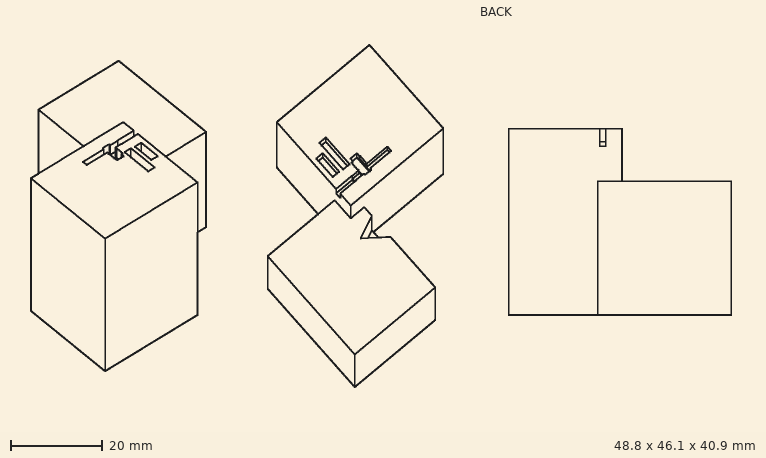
import cadquery as cq

length = 48.75
depth = 46.1
tall_height = 40.85
low_length = 29.3
low_depth = 23.25
low_height = 29.35
tall_length = 24.85
tall_depth = 26.75

tall_left = length - tall_length
low_front = depth - low_depth

notch_left = 15.05
notch_right = 21.3
notch_tip_x = 19.05
notch_tip_depth = 5.2
notch_height = 12.9

slot_inset = 3.6
slot_width = 1.25
slot_length = 14.75
slot_depth = 2.92
slot_entry_length = 4.7
slot_entry_depth = 3.9
slot_entry_clearance = 0.05

pocket_width = 1.85
pocket_depth = 3.9
pocket_places = [
    (7.45, 1.2, 5.5),
    (7.25, 4.05, 7.95),
    (3.2, 6.85, 4.88),
]

recess_length = 2.05
recess_width = 2.45
recess_back_inset = 6.45
neck_length = 0.35
neck_shoulder = 0.1


def block(x, y, size_x, size_y, height):
    """Upright block standing on the base plane, placed by its front-left corner."""
    return cq.Workplane("XY").box(size_x, size_y, height, centered=False).translate((x, y, 0))


def top_cutter(left_inset, back_inset, size_x, size_y, cut_depth):
    """Rectangular cutter sunk into the tall block, placed from its back-left corner."""
    corner = (tall_left + left_inset, tall_depth - back_inset - size_y, tall_height - cut_depth)
    return cq.Workplane("XY").box(size_x, size_y, cut_depth, centered=False).translate(corner)


def notch_cutter():
    """Triangular prism reaching down from the top of the low block."""
    return (
        cq.Workplane("XY")
        .workplane(offset=low_height - notch_height)
        .moveTo(notch_left, low_front)
        .lineTo(notch_tip_x, low_front + notch_tip_depth)
        .lineTo(notch_right, low_front)
        .close()
        .extrude(notch_height)
    )


low_block = block(0, low_front, low_length, low_depth, low_height).cut(notch_cutter())
tall_block = block(tall_left, 0, tall_length, tall_depth, tall_height)
result = low_block.union(tall_block)

result = result.cut(top_cutter(slot_inset, 0, slot_width, slot_length, slot_depth))
entry_inset = slot_inset - slot_entry_clearance
entry_width = slot_width + 2 * slot_entry_clearance
result = result.cut(top_cutter(entry_inset, 0, entry_width, slot_entry_length, slot_entry_depth))

neck_left = slot_inset + slot_width
neck_back_inset = recess_back_inset + neck_shoulder
neck_width = recess_width - 2 * neck_shoulder
recess_left = neck_left + neck_length
result = result.cut(top_cutter(neck_left, neck_back_inset, neck_length, neck_width, slot_depth))
result = result.cut(top_cutter(recess_left, recess_back_inset, recess_length, recess_width, slot_depth))

for left_inset, back_inset, pocket_length in pocket_places:
    result = result.cut(top_cutter(left_inset, back_inset, pocket_length, pocket_width, pocket_depth))